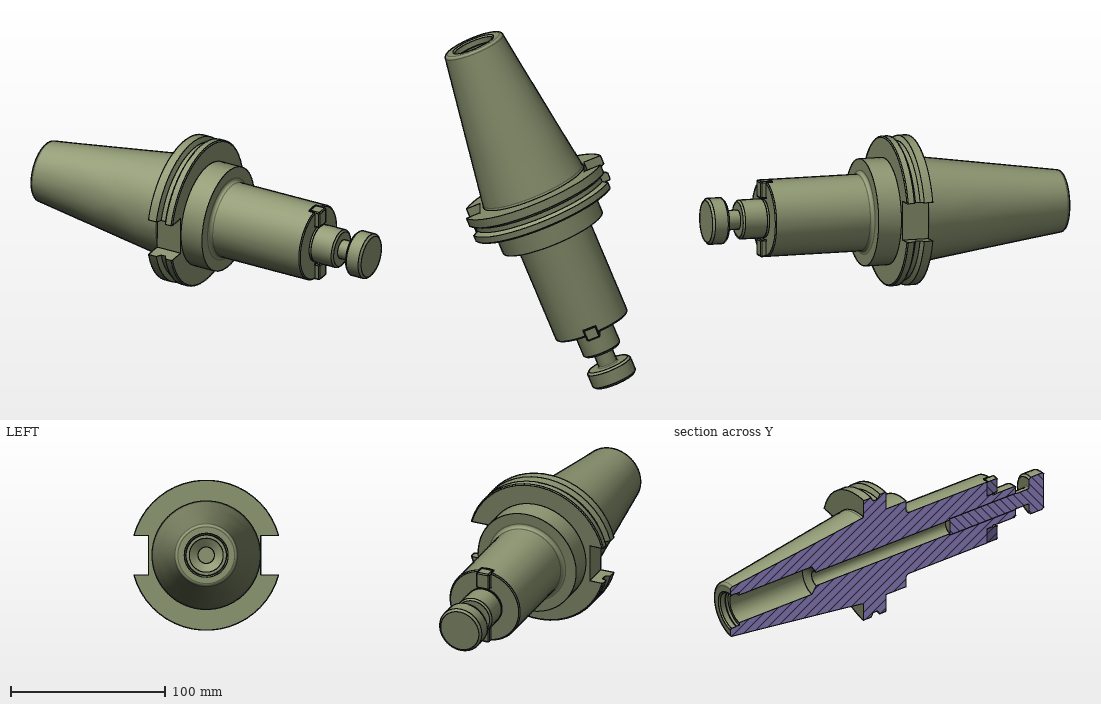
import cadquery as cq
import math


GAUGE_DIA = 69.9
TAPER_LENGTH = 101.7
TAPER_RATIO = 7 / 24
SMALL_END_FILLET = 2.0
NECK_FLARE = 0.36

FLANGE_DIA = 97.5
FLANGE_START = 103.0
FLANGE_WIDTH = 17.5
FLANGE_CHAMFER = 0.7
GROOVE_CENTER = 112.3
GROOVE_FLOOR_WIDTH = 3.2
GROOVE_DEPTH = 3.2
GROOVE_FLANK_ANGLE = 30
DRIVE_SLOT_WIDTH = 25.5
DRIVE_SLOT_FLOOR_PLUS_Y = 37.5
DRIVE_SLOT_FLOOR_MINUS_Y = 35.5

COLLAR_END = 136.0
BODY_DIA = 50.0
BODY_END = 203.3
BODY_CHAMFER = 0.7
BODY_ROOT_FILLET = 2.5
PILOT_DIA = 25.5
PILOT_END = 221.0
PILOT_CHAMFER = 1.2
RELIEF_DIA = 25.0
RELIEF_WIDTH = 1.5

BORE_MOUTH_DIA = 28.6
BORE_ENTRY_DIA = 26.7
BORE_ENTRY_DEPTH = 4.5
BORE_SEAT_DIA = 26.2
BORE_SEAT_DEPTH = 6.8
BORE_DIA = 22.0
BORE_DEPTH = 63
THROUGH_HOLE_DIA = 10.7
BORE_CONE_HALF_ANGLE = 60

KEY_LENGTH = 8.0
KEY_START = 198.7
KEY_WIDTH = 9.0
KEY_INNER = 13.5
KEY_OUTER = 24.7
KEY_CHAMFER = 0.7

SCREW_DIA = 12.5
SCREW_START = 169.8
SCREW_END = 242.5
HEAD_DIA = 30.0
HEAD_LENGTH = 11.6
HEAD_CHAMFER = 1.5
HEAD_ROOT_FILLET = 0.7

SMALL_END_DIA = GAUGE_DIA - TAPER_LENGTH * TAPER_RATIO
FLANGE_END = FLANGE_START + FLANGE_WIDTH
HEAD_START = SCREW_END - HEAD_LENGTH
KEY_DIRECTIONS = (1, -1)


def revolve_about_x(outline):
    """Turn a closed half-section of (X, radius) points about the X axis."""
    return outline.close().revolve(360, (0, 0, 0), (1, 0, 0))


def cylinder_on_x(diameter, start, end):
    return cq.Workplane("YZ", origin=(start, 0, 0)).circle(diameter / 2).extrude(end - start)


def edges_at(x):
    """Selector for the circular edges lying in the plane at X = x."""
    margin = 0.02
    reach = FLANGE_DIA
    return cq.selectors.BoxSelector((x - margin, -reach, -reach), (x + margin, reach, reach), True)


def make_outer_form():
    """Taper, flange, collar, arbor body and pilot as one turned solid."""
    outline = (
        cq.Workplane("XY")
        .moveTo(0, 0)
        .lineTo(0, SMALL_END_DIA / 2)
        .lineTo(TAPER_LENGTH, GAUGE_DIA / 2)
        .lineTo(FLANGE_START, GAUGE_DIA / 2 + NECK_FLARE)
        .lineTo(FLANGE_START, FLANGE_DIA / 2)
        .lineTo(FLANGE_END, FLANGE_DIA / 2)
        .lineTo(FLANGE_END, GAUGE_DIA / 2)
        .lineTo(COLLAR_END, GAUGE_DIA / 2)
        .lineTo(COLLAR_END, BODY_DIA / 2)
        .lineTo(BODY_END, BODY_DIA / 2)
        .lineTo(BODY_END, RELIEF_DIA / 2)
        .lineTo(BODY_END + RELIEF_WIDTH, RELIEF_DIA / 2)
        .lineTo(BODY_END + RELIEF_WIDTH, PILOT_DIA / 2)
        .lineTo(PILOT_END, PILOT_DIA / 2)
        .lineTo(PILOT_END, 0)
    )
    form = revolve_about_x(outline)
    form = form.edges(edges_at(0)).fillet(SMALL_END_FILLET)
    form = form.edges(edges_at(PILOT_END)).chamfer(PILOT_CHAMFER)
    outermost = cq.selectors.RadiusNthSelector(-1)
    form = form.edges(edges_at(BODY_END)).edges(outermost).chamfer(BODY_CHAMFER)
    form = form.edges(edges_at(FLANGE_END)).edges(outermost).chamfer(FLANGE_CHAMFER)
    innermost = cq.selectors.RadiusNthSelector(0)
    return form.edges(edges_at(COLLAR_END)).edges(innermost).fillet(BODY_ROOT_FILLET)


def make_flange_groove():
    """V-flanked ring removed from the flange rim."""
    floor_half = GROOVE_FLOOR_WIDTH / 2
    rim_half = floor_half + GROOVE_DEPTH * math.tan(math.radians(GROOVE_FLANK_ANGLE))
    rim_radius = FLANGE_DIA / 2
    floor_radius = rim_radius - GROOVE_DEPTH
    clear_radius = rim_radius + GROOVE_DEPTH
    outline = (
        cq.Workplane("XY")
        .moveTo(GROOVE_CENTER - floor_half, floor_radius)
        .lineTo(GROOVE_CENTER + floor_half, floor_radius)
        .lineTo(GROOVE_CENTER + rim_half, rim_radius)
        .lineTo(GROOVE_CENTER + rim_half, clear_radius)
        .lineTo(GROOVE_CENTER - rim_half, clear_radius)
        .lineTo(GROOVE_CENTER - rim_half, rim_radius)
    )
    return revolve_about_x(outline)


def make_drive_slot(floor, side):
    """Block that cuts one drive slot through the flange; side is +1 or -1 along Y."""
    depth = FLANGE_DIA / 2
    center_y = side * (floor + depth / 2)
    center_x = FLANGE_START + FLANGE_WIDTH / 2
    return cq.Workplane("XY").box(FLANGE_WIDTH, depth, DRIVE_SLOT_WIDTH).translate((center_x, center_y, 0))


def make_stepped_bore():
    """Bore from the small end, closing down a cone to the hole that meets the screw."""
    mouth_chamfer = (BORE_MOUTH_DIA - BORE_ENTRY_DIA) / 2
    seat_chamfer = (BORE_ENTRY_DIA - BORE_SEAT_DIA) / 2
    cone_height = (BORE_DIA - THROUGH_HOLE_DIA) / 2 / math.tan(math.radians(BORE_CONE_HALF_ANGLE))
    outline = (
        cq.Workplane("XY")
        .moveTo(0, 0)
        .lineTo(0, BORE_MOUTH_DIA / 2)
        .lineTo(mouth_chamfer, BORE_ENTRY_DIA / 2)
        .lineTo(BORE_ENTRY_DEPTH, BORE_ENTRY_DIA / 2)
        .lineTo(BORE_ENTRY_DEPTH + seat_chamfer, BORE_SEAT_DIA / 2)
        .lineTo(BORE_SEAT_DEPTH, BORE_SEAT_DIA / 2)
        .lineTo(BORE_SEAT_DEPTH, BORE_DIA / 2)
        .lineTo(BORE_DEPTH, BORE_DIA / 2)
        .lineTo(BORE_DEPTH + cone_height, THROUGH_HOLE_DIA / 2)
        .lineTo(SCREW_START, THROUGH_HOLE_DIA / 2)
        .lineTo(SCREW_START, 0)
    )
    return revolve_about_x(outline)


def make_key_pocket(direction):
    """Key seat, open outwards through the arbor body."""
    height = FLANGE_DIA / 2 - KEY_INNER
    center_x = KEY_START + KEY_LENGTH / 2
    center_z = direction * (KEY_INNER + height / 2)
    return cq.Workplane("XY").box(KEY_LENGTH, KEY_WIDTH, height).translate((center_x, 0, center_z))


def make_holder():
    """Turned form with groove, drive slots, bore, key pockets and screw hole removed."""
    holder = make_outer_form()
    holder = holder.cut(make_flange_groove())
    holder = holder.cut(make_drive_slot(DRIVE_SLOT_FLOOR_PLUS_Y, 1))
    holder = holder.cut(make_drive_slot(DRIVE_SLOT_FLOOR_MINUS_Y, -1))
    holder = holder.cut(make_stepped_bore())
    for direction in KEY_DIRECTIONS:
        holder = holder.cut(make_key_pocket(direction))
    return holder.cut(cylinder_on_x(SCREW_DIA, SCREW_START, PILOT_END))


def make_key(direction):
    """Drive key, bevelled on every edge; direction is +1 or -1 along Z."""
    center_x = KEY_START + KEY_LENGTH / 2
    center_z = direction * (KEY_INNER + KEY_OUTER) / 2
    key = cq.Workplane("XY").box(KEY_LENGTH, KEY_WIDTH, KEY_OUTER - KEY_INNER)
    return key.edges().chamfer(KEY_CHAMFER).translate((center_x, 0, center_z))


def make_screw():
    """Bevelled head and plain shank, filleted where they meet."""
    head = cylinder_on_x(HEAD_DIA, HEAD_START, SCREW_END).edges().chamfer(HEAD_CHAMFER)
    screw = head.union(cylinder_on_x(SCREW_DIA, SCREW_START, HEAD_START))
    shank_root = cq.selectors.RadiusNthSelector(0)
    return screw.edges(edges_at(HEAD_START)).edges(shank_root).fillet(HEAD_ROOT_FILLET)


holder = make_holder()
keys = [make_key(direction) for direction in KEY_DIRECTIONS]
screw = make_screw()

result = cq.Compound.makeCompound([holder.val(), *[key.val() for key in keys], screw.val()])